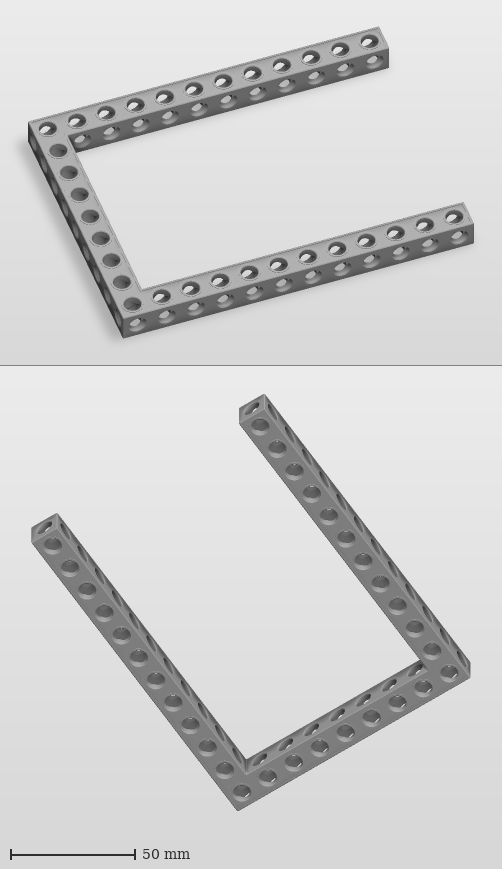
import cadquery as cq

length = 150.0
holes_across = 9
holes_along = 12
hole_diameter = 7.0
collar_diameter = 9.2
rim_width = 1.0
recess_depth = 0.22
edge_chamfer = 0.3

pitch = length / holes_along
bar = pitch
width = holes_across * pitch

x_places = [(i - (holes_across - 1) / 2) * pitch for i in range(holes_across)]
y_places = [(i - (holes_along - 1) / 2) * pitch for i in range(holes_along)]
base_y = y_places[0]
arm_xs = (x_places[0], x_places[-1])
base_centres = [(x, base_y) for x in x_places]
arm_centres = [(x, y) for x in arm_xs for y in y_places]
all_centres = base_centres + [(x, y) for x, y in arm_centres if y != base_y]


def u_slab(inset, height):
    """U-shaped slab open towards +Y, centred in Z, with its outline moved inwards by inset."""
    block = cq.Workplane("XY").box(width - 2 * inset, length - 2 * inset, height)
    opening = (
        cq.Workplane("XY")
        .box(width - 2 * (bar - inset), length, height)
        .translate((0, bar - inset, 0))
    )
    return block.cut(opening)


def make_frame():
    """Frame with broken edges and shallow panels sunk into its top and bottom faces."""
    collars = (
        cq.Workplane("XY", origin=(0, 0, -recess_depth / 2))
        .pushPoints(all_centres)
        .circle(collar_diameter / 2)
        .extrude(recess_depth)
    )
    panel = u_slab(rim_width, recess_depth).cut(collars)
    frame = u_slab(0, bar).edges().chamfer(edge_chamfer)
    panel_height = (bar - recess_depth) / 2
    for z in (-panel_height, panel_height):
        frame = frame.cut(panel.translate((0, 0, z)))
    return frame


def hole_cutter(depth):
    """Hole along Z with chamfered mouths, centred on the origin."""
    half = depth / 2
    radius = hole_diameter / 2
    mouth_radius = radius + edge_chamfer
    return (
        cq.Workplane("XZ")
        .moveTo(0, -half)
        .lineTo(mouth_radius, -half)
        .lineTo(radius, edge_chamfer - half)
        .lineTo(radius, half - edge_chamfer)
        .lineTo(mouth_radius, half)
        .lineTo(0, half)
        .close()
        .revolve(360, (0, 0), (0, 1))
    )


def along_x(cutter):
    return cutter.rotate((0, 0, 0), (0, 1, 0), 90)


def along_y(cutter):
    return cutter.rotate((0, 0, 0), (1, 0, 0), 90)


def drill(frame, cutter, centres):
    """Cut a copy of the cutter from the frame at each centre."""
    shape = cutter.val()
    copies = cq.Workplane("XY").pushPoints(centres).eachpoint(lambda place: shape.moved(place))
    return frame.cut(copies)


result = make_frame()

result = drill(result, hole_cutter(bar), all_centres)
result = drill(result, along_y(hole_cutter(bar)), base_centres)
result = drill(result, along_x(hole_cutter(bar)), arm_centres)

result = drill(result, along_y(hole_cutter(length)), [(x, 0) for x in arm_xs])
result = drill(result, along_x(hole_cutter(width)), [(0, base_y)])